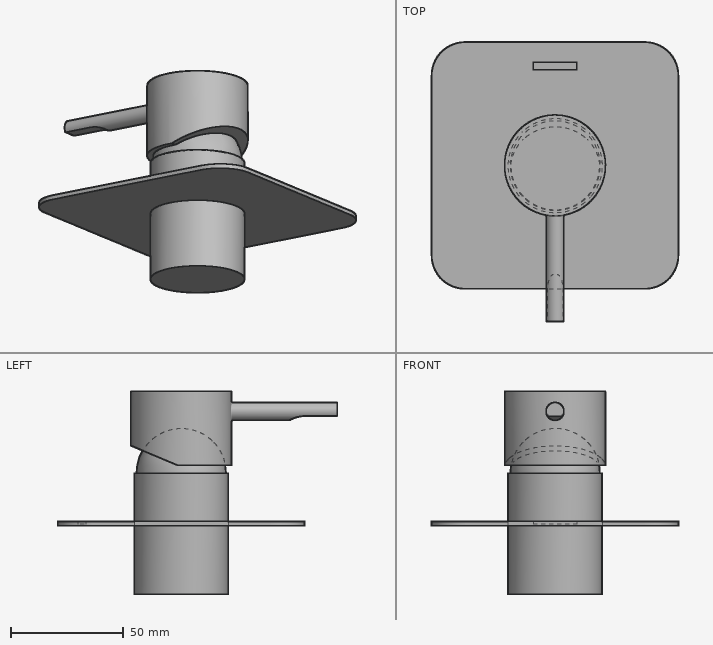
import cadquery as cq
import math

sleeve_radius = 21.0
sleeve_height = 54.0

plate_width = 110.0
plate_thickness = 2.0
plate_corner_radius = 15.0
plate_bottom_z = 30.5
plate_top_z = plate_bottom_z + plate_thickness

badge_length = 19.5
badge_width = 3.5
badge_depth = plate_thickness / 2
badge_y = 44.3

ball_radius = 20.0
ball_center_z = sleeve_height

total_height = 90.45
knob_radius = 22.5
knob_height = 33.0
knob_bottom_z = total_height - knob_height
knob_top_fillet = 0.5
relief_start_y = 1.6
relief_rise = 8.75

lever_radius = 4.0
lever_reach = 69.5
lever_depth = 9.0
lever_z = total_height - lever_depth
lever_tip_fillet = 0.4
lever_root_fillet = 0.5
flat_length = 14.0
flat_drop = 2.1
flat_runout_radius = 15.0


def make_sleeve():
    return cq.Workplane("XY").circle(sleeve_radius).extrude(sleeve_height)


def make_ball():
    center = (0, 0, ball_center_z)
    upper_half = (
        cq.Workplane("XY", origin=center)
        .circle(ball_radius)
        .extrude(ball_radius)
    )
    return cq.Workplane("XY", origin=center).sphere(ball_radius).intersect(upper_half)


def make_badge():
    return (
        cq.Workplane("XY", origin=(0, badge_y, plate_top_z - badge_depth))
        .rect(badge_length, badge_width)
        .extrude(badge_depth)
    )


def make_plate(sleeve, badge):
    blank = (
        cq.Workplane("XY", origin=(0, 0, plate_bottom_z))
        .rect(plate_width, plate_width)
        .extrude(plate_thickness)
        .edges("|Z")
        .fillet(plate_corner_radius)
    )
    return blank.cut(sleeve).cut(badge)


def make_knob_blank():
    return (
        cq.Workplane("XY", origin=(0, 0, knob_bottom_z))
        .circle(knob_radius)
        .extrude(knob_height)
        .faces(">Z")
        .fillet(knob_top_fillet)
    )


def make_knob_relief():
    """Wedge that cuts the sloping underside at the back of the knob."""
    return (
        cq.Workplane("YZ")
        .moveTo(relief_start_y, knob_bottom_z)
        .lineTo(knob_radius, knob_bottom_z)
        .lineTo(knob_radius, knob_bottom_z + relief_rise)
        .close()
        .extrude(knob_radius, both=True)
    )


def make_lever_flat():
    """Cutter for the underside flat, which runs out in an arc towards the knob."""
    bottom_z = lever_z - lever_radius
    flat_z = lever_z - flat_drop
    flat_end_y = flat_length - lever_reach

    arc_center_z = flat_z - flat_runout_radius
    runout_angle = math.acos((bottom_z - arc_center_z) / flat_runout_radius)

    def arc_point(angle):
        y = flat_end_y + flat_runout_radius * math.sin(angle)
        z = arc_center_z + flat_runout_radius * math.cos(angle)
        return (y, z)

    return (
        cq.Workplane("YZ")
        .moveTo(-lever_reach, bottom_z)
        .lineTo(-lever_reach, flat_z)
        .lineTo(flat_end_y, flat_z)
        .threePointArc(arc_point(runout_angle / 2), arc_point(runout_angle))
        .close()
        .extrude(lever_radius, both=True)
    )


def make_lever():
    """Round rod from the knob axis to the tip, with the flat cut and the tip rounded off."""
    rod = (
        cq.Workplane("XZ", origin=(0, 0, lever_z))
        .circle(lever_radius)
        .extrude(lever_reach)
    )
    return rod.cut(make_lever_flat()).faces("<Y").edges().fillet(lever_tip_fillet)


def make_handle(ball):
    """Knob and lever in one piece, with a socket for the ball."""
    joined = make_knob_blank().union(make_lever())
    root_zone = cq.selectors.BoxSelector(
        (-knob_radius, -knob_radius, lever_z - lever_radius),
        (knob_radius, -knob_radius / 2, lever_z + lever_radius),
    )
    blended = joined.edges(root_zone).fillet(lever_root_fillet)
    return blended.cut(make_knob_relief()).cut(ball)


sleeve = make_sleeve()
badge = make_badge()
plate = make_plate(sleeve, badge)
ball = make_ball()
handle = make_handle(ball)

result = cq.Compound.makeCompound(
    [body.solids().val() for body in (sleeve, plate, badge, ball, handle)]
)